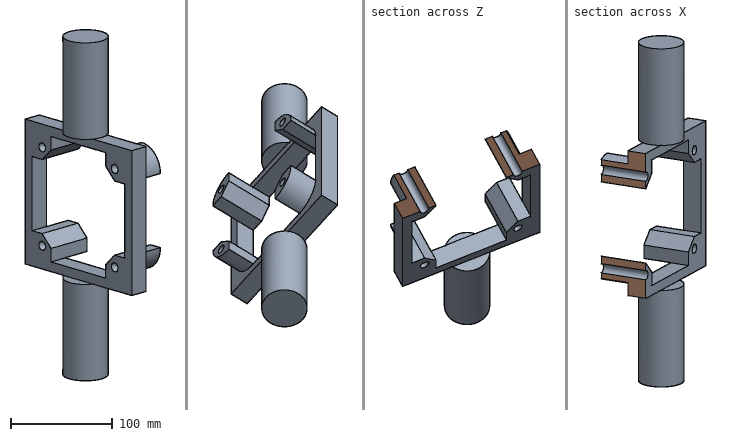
import cadquery as cq
import math

total_height = 350.0
frame_side = 150.0
frame_thickness = 20.0
wall = 10.0

handle_diameter = 45.0
handle_length = (total_height - frame_side) / 2

hole_diameter = 9.0
hole_inset = 24.0
chamfer = 12.5
post_length = 30.0

half_side = frame_side / 2
opening_side = frame_side - 2 * wall
hole_offset = half_side - hole_inset
back_face = frame_thickness / 2

pad_inner = hole_offset - chamfer
pad_outer = opening_side / 2
post_radius = pad_outer - pad_inner


def xz_plane(y):
    """Plane facing +Y, whose local x runs along -X and local y along +Z."""
    return cq.Plane(origin=(0, y, 0), xDir=(-1, 0, 0), normal=(0, 1, 0))


def make_frame():
    """Square plate with a square opening, centred on the origin."""
    plate = cq.Workplane("XY").box(frame_side, frame_thickness, frame_side)
    opening = cq.Workplane("XY").box(opening_side, frame_thickness, opening_side)
    return plate.cut(opening)


def make_pad():
    """Chamfered square filling one corner of the opening."""
    return (
        cq.Workplane(xz_plane(-back_face))
        .moveTo(pad_inner, hole_offset)
        .lineTo(pad_inner, pad_outer)
        .lineTo(pad_outer, pad_outer)
        .lineTo(pad_outer, pad_inner)
        .lineTo(hole_offset, pad_inner)
        .close()
        .extrude(frame_thickness)
    )


def make_post():
    """Quarter-round post behind a pad, sharing the pad's chamfer and inner faces."""
    arc_middle = pad_inner + post_radius * math.sqrt(0.5)
    return (
        cq.Workplane(xz_plane(back_face))
        .moveTo(pad_inner, hole_offset)
        .lineTo(pad_inner, pad_outer)
        .threePointArc((arc_middle, arc_middle), (pad_outer, pad_inner))
        .lineTo(hole_offset, pad_inner)
        .close()
        .extrude(post_length)
    )


def make_handle(base_z):
    """Vertical solid cylinder standing on the given height."""
    return (
        cq.Workplane("XY", origin=(0, 0, base_z))
        .circle(handle_diameter / 2)
        .extrude(handle_length)
    )


def make_holes():
    """Four holes through the frame and the full length of the posts."""
    spacing = 2 * hole_offset
    return (
        cq.Workplane(xz_plane(-back_face))
        .rect(spacing, spacing, forConstruction=True)
        .vertices()
        .circle(hole_diameter / 2)
        .extrude(frame_thickness + post_length)
    )


part = make_frame()

corner = make_pad().union(make_post())
for quarter_turn in range(4):
    part = part.union(corner.rotate((0, 0, 0), (0, 1, 0), 90 * quarter_turn))

for base_z in (half_side, -total_height / 2):
    part = part.union(make_handle(base_z))

result = part.cut(make_holes()).clean()